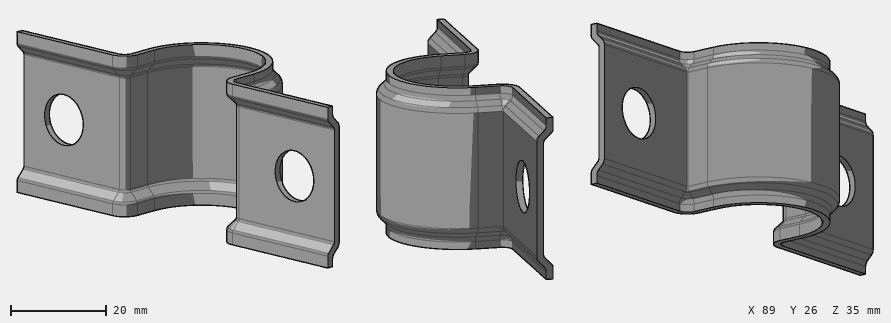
import cadquery as cq
import math

length = 89.0
height = 35.0
depth = 26.0

sheet = 1.5
step = 2.05
section_depth = step + sheet

slope_angle = math.radians(45)
slope_start = 2.9
slope_end = slope_start + step / math.tan(slope_angle)

back_radius = 0.8
face_radius = 1.6

corner_ratio = math.tan(slope_angle / 2)
corner_shift = sheet * corner_ratio

outer_radius = 17.0
leg_top = depth - outer_radius
bend_radius = 0.13

hole_diameter = 11.0
hole_offset = 33.0


def face_corners(first_depth, shift, radius):
    """Corners (depth, height, radius) of one face of the sheet, from bottom edge to top edge."""
    lower = [
        (first_depth, 0.0, 0.0),
        (first_depth, slope_start - shift, radius),
        (first_depth + step, slope_end - shift, radius),
    ]
    upper = [(y, height - z, r) for y, z, r in reversed(lower)]
    return lower + upper


def point_toward(corner, target, distance):
    """Point at the given distance from a corner, on the straight line to a target."""
    along_y = target[0] - corner[0]
    along_z = target[1] - corner[1]
    ratio = distance / math.hypot(along_y, along_z)
    return corner[0] + along_y * ratio, corner[1] + along_z * ratio


def make_section():
    """Closed outline of the stepped sheet at the end of the left arm."""
    back = face_corners(0.0, 0.0, back_radius)
    face = face_corners(sheet, corner_shift, face_radius)
    corners = back + face[::-1]

    outline = cq.Workplane("YZ", origin=(-length / 2, 0, 0)).moveTo(0, 0)
    for index in range(1, len(corners)):
        y, z, radius = corners[index]
        if radius == 0:
            outline = outline.lineTo(y, z)
        else:
            setback = radius * corner_ratio
            arc_start = point_toward((y, z), corners[index - 1], setback)
            arc_end = point_toward((y, z), corners[index + 1], setback)
            outline = outline.lineTo(*arc_start).tangentArcPoint(arc_end, relative=False)
    return outline.close()


def make_path():
    """Line of the outermost face: left arm, left leg, arch, right leg, right arm."""
    bend_x = outer_radius + bend_radius
    bend_y = section_depth + bend_radius
    bend_mid = bend_radius * math.sqrt(0.5)
    return (
        cq.Workplane("XY")
        .moveTo(-length / 2, section_depth)
        .lineTo(-bend_x, section_depth)
        .threePointArc((-bend_x + bend_mid, bend_y - bend_mid), (-outer_radius, bend_y))
        .lineTo(-outer_radius, leg_top)
        .threePointArc((0, depth), (outer_radius, leg_top))
        .lineTo(outer_radius, bend_y)
        .threePointArc((bend_x - bend_mid, bend_y - bend_mid), (bend_x, section_depth))
        .lineTo(length / 2, section_depth)
    )


def make_holes():
    """Cutters for the screw holes, passing through the arms along Y."""
    return (
        cq.Workplane("XZ", origin=(0, section_depth, 0))
        .pushPoints([(-hole_offset, height / 2), (hole_offset, height / 2)])
        .circle(hole_diameter / 2)
        .extrude(section_depth)
    )


strap = make_section().sweep(make_path())
result = strap.cut(make_holes())